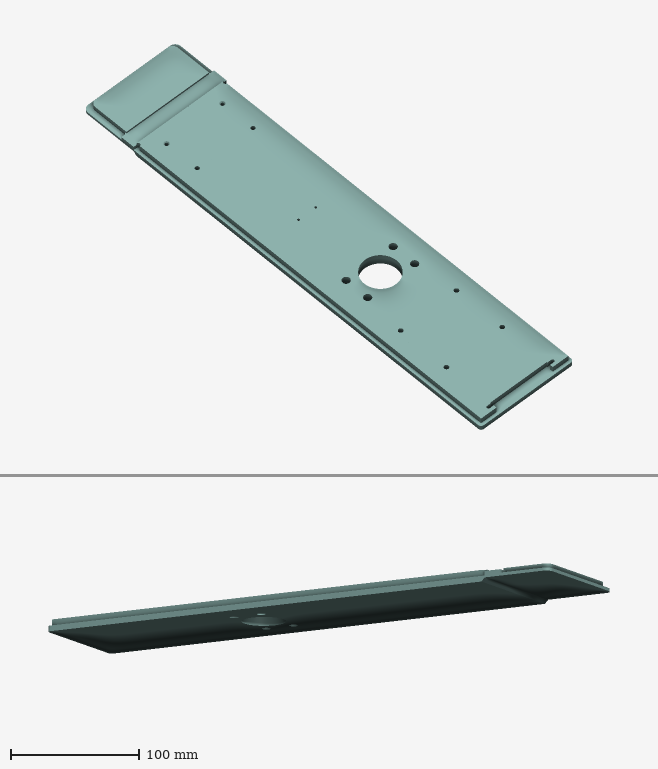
import cadquery as cq
import math

LENGTH = 452.0
WIDTH = 100.0
HEIGHT = 10.0
HALF_WIDTH = WIDTH / 2

BODY_START = 58.0
LIP_TOP = 4.5
LIP_CORNER_RADIUS = 3.0
DECK_INSET = 3.0
DECK_HALF_WIDTH = HALF_WIDTH - DECK_INSET
DECK_RELIEF_RADIUS = 2.0

TONGUE_BOTTOM = 3.0
TONGUE_LIP_TOP = 5.5
TONGUE_CORNER_RADIUS = 6.0
CHANNEL_START = 44.0
CHANNEL_FLOOR = 8.0
PAD_END_INSET = 3.0
PAD_HALF_WIDTH = HALF_WIDTH - 5.5
PAD_CORNER_RADIUS = 5.5
LEDGE_END_RADIUS = 2.3

NOTCH_DEPTH = 10.0
NOTCH_HALF_WIDTH = 30.5
RELIEF_SLOT_X = LENGTH - 7.5
RELIEF_SLOT_WIDTH = 3.0
RELIEF_SLOT_REACH = 6.0

OPENING_X = 285.0
OPENING_DIAMETER = 35.0
BOLT_SPACING_X = 24.5
BOLT_SPACING_Y = 50.5
BOLT_DIAMETER = 7.2

HOLE_DEPTH = 6.0
DRILL_POINT_ANGLE = 118
SCREW_SPACING_Y = 60.0
COUNTERSUNK_X = 74.0
COUNTERSUNK_DIAMETER = 3.0
COUNTERSINK_DIAMETER = 5.0
COUNTERSINK_ANGLE = 90
SMALL_SCREW_X = 109.0
SMALL_SCREW_DIAMETER = 4.0
LARGE_SCREW_XS = (340.0, 392.0)
LARGE_SCREW_DIAMETER = 4.5
PIN_X = 202.0
PIN_SPACING_Y = 18.5
PIN_DIAMETER = 2.3


def block(x_start, x_end, half_width, z_bottom, z_top):
    """A box centred across the plate."""
    return (
        cq.Workplane("XY", origin=(x_start, 0, z_bottom))
        .box(x_end - x_start, 2 * half_width, z_top - z_bottom, centered=(False, True, False))
    )


def cylinders(points, diameter, z_bottom, z_top):
    """Upright cylinders at the given (x, y) points."""
    return (
        cq.Workplane("XY", origin=(0, 0, z_bottom))
        .pushPoints(points)
        .circle(diameter / 2)
        .extrude(z_top - z_bottom)
    )


def mirrored_pair(x, spacing_y):
    return [(x, spacing_y / 2), (x, -spacing_y / 2)]


def main_body():
    lip = block(BODY_START, LENGTH, HALF_WIDTH, 0, LIP_TOP)
    lip = lip.edges("|Z and >X").fillet(LIP_CORNER_RADIUS)
    lip = lip.edges("<X and <Z").chamfer(TONGUE_BOTTOM)

    deck = block(BODY_START, LENGTH - DECK_INSET, DECK_HALF_WIDTH, LIP_TOP, HEIGHT)
    relief_points = mirrored_pair(BODY_START + DECK_RELIEF_RADIUS, 2 * DECK_HALF_WIDTH)
    deck = deck.cut(cylinders(relief_points, 2 * DECK_RELIEF_RADIUS, LIP_TOP, HEIGHT))
    return lip.union(deck)


def tongue():
    base = block(0, BODY_START, HALF_WIDTH, TONGUE_BOTTOM, TONGUE_LIP_TOP)
    base = base.edges("|Z and <X").fillet(TONGUE_CORNER_RADIUS)

    pad = block(PAD_END_INSET, CHANNEL_START, PAD_HALF_WIDTH, TONGUE_LIP_TOP, HEIGHT)
    pad = pad.edges("|Z and <X").fillet(PAD_CORNER_RADIUS)

    bridge = block(CHANNEL_START, BODY_START, HALF_WIDTH, TONGUE_LIP_TOP, CHANNEL_FLOOR)
    shape = base.union(bridge).union(pad)
    for side in (-1, 1):
        shape = shape.union(ledge_end(side))
    return shape


def ledge_end(side):
    """Concave corner piece between the pad side and the channel, on side -1 or +1."""
    radius = LEDGE_END_RADIUS
    arc_middle = radius * (1 - math.sqrt(0.5))
    return (
        cq.Workplane("XY", origin=(CHANNEL_START, side * PAD_HALF_WIDTH, TONGUE_LIP_TOP))
        .lineTo(-radius, 0)
        .threePointArc((-arc_middle, side * arc_middle), (0, side * radius))
        .close()
        .extrude(CHANNEL_FLOOR - TONGUE_LIP_TOP)
    )


def end_notch():
    notch = block(LENGTH - NOTCH_DEPTH, LENGTH, NOTCH_HALF_WIDTH, LIP_TOP, HEIGHT)
    slots = (
        cq.Workplane("XY", origin=(RELIEF_SLOT_X, 0, LIP_TOP))
        .slot2D(2 * (NOTCH_HALF_WIDTH + RELIEF_SLOT_REACH), RELIEF_SLOT_WIDTH, 90)
        .extrude(HEIGHT - LIP_TOP)
    )
    return notch.union(slots)


def drilled_hole(x, y, diameter, mouth_diameter=None):
    """Blind hole with a drill point, and a countersunk mouth if one is given."""
    radius = diameter / 2
    point_height = radius / math.tan(math.radians(DRILL_POINT_ANGLE / 2))
    floor = HEIGHT - HOLE_DEPTH
    profile = cq.Workplane("XZ", origin=(x, y, 0)).moveTo(0, floor - point_height).lineTo(radius, floor)
    if mouth_diameter:
        mouth_radius = mouth_diameter / 2
        sink_depth = (mouth_radius - radius) / math.tan(math.radians(COUNTERSINK_ANGLE / 2))
        profile = profile.lineTo(radius, HEIGHT - sink_depth).lineTo(mouth_radius, HEIGHT)
    else:
        profile = profile.lineTo(radius, HEIGHT)
    return profile.lineTo(0, HEIGHT).close().revolve(360, (0, 0), (0, 1))


def drilled_holes():
    holes = cq.Workplane("XY")
    for x, y in mirrored_pair(COUNTERSUNK_X, SCREW_SPACING_Y):
        holes = holes.add(drilled_hole(x, y, COUNTERSUNK_DIAMETER, COUNTERSINK_DIAMETER))
    for x, y in mirrored_pair(SMALL_SCREW_X, SCREW_SPACING_Y):
        holes = holes.add(drilled_hole(x, y, SMALL_SCREW_DIAMETER))
    for screw_x in LARGE_SCREW_XS:
        for x, y in mirrored_pair(screw_x, SCREW_SPACING_Y):
            holes = holes.add(drilled_hole(x, y, LARGE_SCREW_DIAMETER))
    for x, y in mirrored_pair(PIN_X, PIN_SPACING_Y):
        holes = holes.add(drilled_hole(x, y, PIN_DIAMETER))
    return holes.combine()


def through_holes():
    opening = cylinders([(OPENING_X, 0)], OPENING_DIAMETER, 0, HEIGHT)
    bolt_points = (
        mirrored_pair(OPENING_X - BOLT_SPACING_X / 2, BOLT_SPACING_Y)
        + mirrored_pair(OPENING_X + BOLT_SPACING_X / 2, BOLT_SPACING_Y)
    )
    return opening.add(cylinders(bolt_points, BOLT_DIAMETER, 0, HEIGHT)).combine()


plate = main_body().union(tongue())
result = plate.cut(end_notch()).cut(through_holes()).cut(drilled_holes())